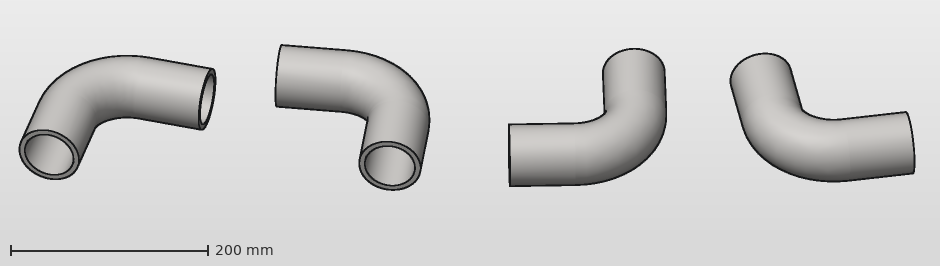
import cadquery as cq

overall_size = 161.0
outer_diameter = 63.0
bore_diameter = 51.4
spigot_length = 66.3

axis_leg = overall_size - outer_diameter / 2
bend_radius = axis_leg - spigot_length


def bent_rod(diameter):
    """Solid round rod: straight leg along Y, quarter bend, straight leg along X."""
    start_leg = (
        cq.Workplane("XZ", origin=(0, -axis_leg, 0))
        .circle(diameter / 2)
        .extrude(-spigot_length)
    )
    bend = (
        cq.Workplane("XZ", origin=(0, -bend_radius, 0))
        .circle(diameter / 2)
        .revolve(90, (bend_radius, 0), (bend_radius, -1))
    )
    end_leg = (
        cq.Workplane("YZ", origin=(bend_radius, 0, 0))
        .circle(diameter / 2)
        .extrude(spigot_length)
    )
    return start_leg.union(bend).union(end_leg)


result = bent_rod(outer_diameter).cut(bent_rod(bore_diameter))